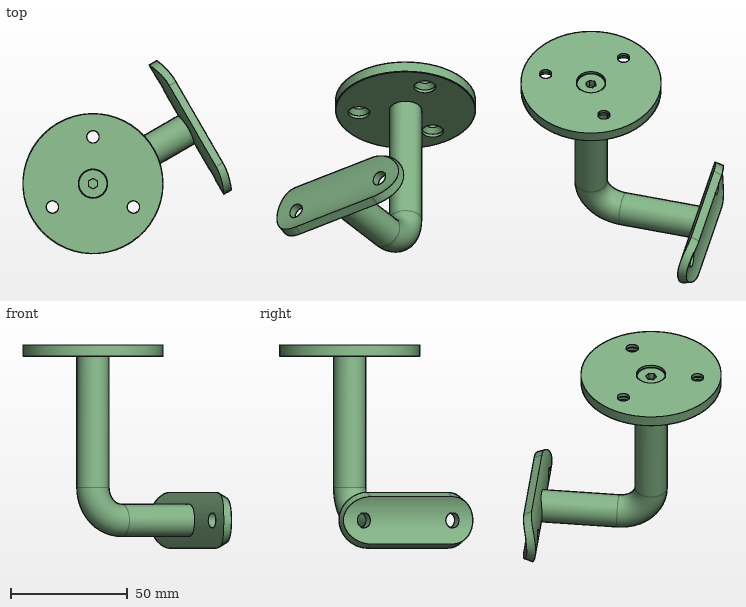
import cadquery as cq
import math

DISC_RADIUS = 30.0
DISC_THICKNESS = 5.0
DISC_CHAMFER = 0.3

HOLE_COUNT = 3
HOLE_CIRCLE_RADIUS = 20.0
FIRST_HOLE_ANGLE = 90.0
HOLE_RADIUS = 2.6
HOLE_HEAD_RADIUS = 4.6
HOLE_STRAIGHT_DEPTH = 1.5
HOLE_CONE_DEPTH = HOLE_HEAD_RADIUS - HOLE_RADIUS

SCREW_HEAD_RADIUS = 6.0
SCREW_SHANK_RADIUS = 3.0
SCREW_LENGTH = 16.0
SCREW_TOP_Z = -1.2
SCREW_CONE_HEIGHT = SCREW_HEAD_RADIUS - SCREW_SHANK_RADIUS
SCREW_RECESS_RADIUS = 6.25
SOCKET_ACROSS_FLATS = 3.9
SOCKET_DEPTH = 3.3
SOCKET_ANGLE = 30.0

ARM_RADIUS = 7.0
ARM_BEND_RADIUS = 14.0
ARM_DROP = 75.0
ARM_ANGLE = 30.0

SADDLE_REACH = 50.0
SADDLE_THICKNESS = 3.8
SADDLE_LENGTH = 63.9
SADDLE_HEIGHT = 23.9
SADDLE_FRONT_RADIUS = 25.0
SADDLE_HOLE_SPACING = 43.8
SADDLE_HOLE_RADIUS = 3.2
SADDLE_FRONT_REACH = SADDLE_REACH - SADDLE_THICKNESS


def turn_to_arm_direction(body):
    """Turn a body modelled along +X into the direction of the arm's outward leg."""
    return body.rotate((0, 0, 0), (0, 0, 1), ARM_ANGLE)


def make_screw_envelope():
    """Countersunk head and shank, without the socket."""
    cone_end_z = SCREW_TOP_Z - SCREW_CONE_HEIGHT
    tip_z = SCREW_TOP_Z - SCREW_LENGTH
    return (
        cq.Workplane("XZ")
        .moveTo(0, SCREW_TOP_Z)
        .lineTo(SCREW_HEAD_RADIUS, SCREW_TOP_Z)
        .lineTo(SCREW_SHANK_RADIUS, cone_end_z)
        .lineTo(SCREW_SHANK_RADIUS, tip_z)
        .lineTo(0, tip_z)
        .close()
        .revolve(360, (0, 0, 0), (0, 1, 0))
    )


def make_screw():
    """Socket screw with a hexagon that has two flats facing +X and -X."""
    across_corners = SOCKET_ACROSS_FLATS / math.cos(math.pi / 6)
    socket = (
        cq.Workplane("XY", origin=(0, 0, SCREW_TOP_Z))
        .polygon(6, across_corners)
        .extrude(-SOCKET_DEPTH)
        .rotate((0, 0, 0), (0, 0, 1), SOCKET_ANGLE)
    )
    return make_screw_envelope().cut(socket)


def make_fixing_hole():
    """Cutter on the Z axis: straight hole, cone, then a clearance for the screw head."""
    cone_end_z = -HOLE_STRAIGHT_DEPTH - HOLE_CONE_DEPTH
    return (
        cq.Workplane("XZ")
        .lineTo(HOLE_RADIUS, 0)
        .lineTo(HOLE_RADIUS, -HOLE_STRAIGHT_DEPTH)
        .lineTo(HOLE_HEAD_RADIUS, cone_end_z)
        .lineTo(HOLE_HEAD_RADIUS, -DISC_THICKNESS)
        .lineTo(0, -DISC_THICKNESS)
        .close()
        .revolve(360, (0, 0, 0), (0, 1, 0))
    )


def make_disc():
    """Disc with the central screw seat and the ring of fixing holes."""
    disc = (
        cq.Workplane("XY")
        .circle(DISC_RADIUS)
        .extrude(-DISC_THICKNESS)
        .faces("<Z")
        .chamfer(DISC_CHAMFER)
    )
    recess = cq.Workplane("XY").circle(SCREW_RECESS_RADIUS).extrude(SCREW_TOP_Z)
    disc = disc.cut(recess).cut(make_screw_envelope())
    for index in range(HOLE_COUNT):
        hole_angle = FIRST_HOLE_ANGLE + index * 360 / HOLE_COUNT
        hole = make_fixing_hole().translate((HOLE_CIRCLE_RADIUS, 0, 0))
        disc = disc.cut(hole.rotate((0, 0, 0), (0, 0, 1), hole_angle))
    return disc


def make_saddle_cylinder():
    """Cylinder along Y that carries the saddle's front face on its side nearest the disc axis."""
    return (
        cq.Workplane("XZ", origin=(SADDLE_FRONT_REACH + SADDLE_FRONT_RADIUS, 0, -ARM_DROP))
        .circle(SADDLE_FRONT_RADIUS)
        .extrude(SADDLE_LENGTH, both=True)
    )


def make_saddle():
    """Curved round-ended plate whose rim stands square to its faces, with two holes."""
    outline_plane = cq.Workplane("YZ", origin=(SADDLE_FRONT_REACH, 0, -ARM_DROP))
    blank = outline_plane.slot2D(SADDLE_LENGTH, SADDLE_HEIGHT).extrude(SADDLE_FRONT_RADIUS)
    front_face = blank.intersect(make_saddle_cylinder()).faces("<X").val()
    plate = cq.Workplane(front_face.thicken(-SADDLE_THICKNESS))
    holes = (
        outline_plane.rarray(SADDLE_HOLE_SPACING, 0.9, 2, 1)
        .circle(SADDLE_HOLE_RADIUS)
        .extrude(SADDLE_FRONT_RADIUS)
    )
    return turn_to_arm_direction(plate.cut(holes))


def make_arm():
    """Bent rod that butts against the saddle's front face and takes the screw tip."""
    path = (
        cq.Workplane("XZ")
        .moveTo(0, -DISC_THICKNESS)
        .lineTo(0, ARM_BEND_RADIUS - ARM_DROP)
        .radiusArc((ARM_BEND_RADIUS, -ARM_DROP), -ARM_BEND_RADIUS)
        .lineTo(SADDLE_REACH, -ARM_DROP)
    )
    rod = cq.Workplane("XY", origin=(0, 0, -DISC_THICKNESS)).circle(ARM_RADIUS).sweep(path)
    rod = rod.cut(make_saddle_cylinder())
    return turn_to_arm_direction(rod).cut(make_screw_envelope())


disc = make_disc()
screw = make_screw()
arm = make_arm()
saddle = make_saddle()

result = cq.Compound.makeCompound([body.solids().val() for body in (disc, screw, arm, saddle)])